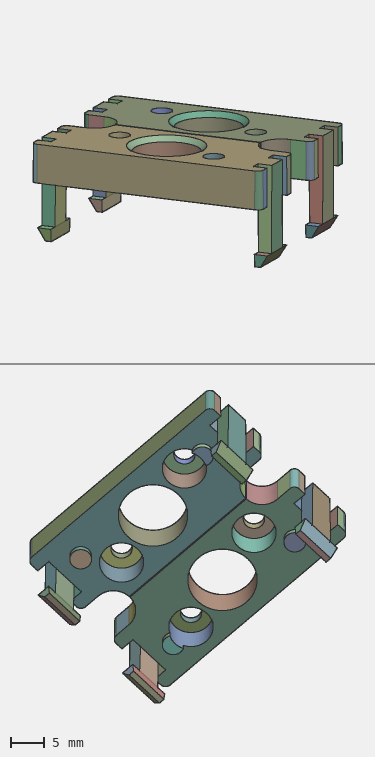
import cadquery as cq
import math

LENGTH = 37.68
WIDTH = 29.8
HEIGHT = 15.55
PLATE_THICKNESS = 6.0
PLATE_GAP = 0.15
CORNER_RADIUS = 0.98
DRAFT = 0.5

RELIEF_RADIUS = 3.3
RELIEF_TIP_X = 12.0

BORE_DIAMETER = 10.32
BORE_CHAMFER = 0.83

SCREW_X = 8.85
SCREW_Y = 2.5
SCREW_DIAMETER = 3.2
COUNTERBORE_DIAMETER = 6.6
SCREW_SEAT_THICKNESS = 1.5

PIN_X = 12.5
PIN_DIAMETER = 3.25
PIN_LENGTH = 0.98

LEG_Y = 9.08
LEG_TOP_WIDTH = 3.7
LEG_FOOT_DEPTH = 2.15
NOTCH_DEPTH = 2.25
NOTCH_WIDTH = 7.05

HOOK_HEIGHT = 1.95
HOOK_TOP_WIDTH = 6.9
HOOK_BOTTOM_WIDTH = 6.55
HOOK_BEVEL = 1.2

half_length = LENGTH / 2
plate_width = (WIDTH - PLATE_GAP) / 2
plate_center_y = (WIDTH - plate_width) / 2
screw_far_y = plate_center_y + SCREW_Y
relief_center_x = RELIEF_TIP_X + RELIEF_RADIUS
hook_bottom_z = PLATE_THICKNESS - HEIGHT
hook_top_z = hook_bottom_z + HOOK_HEIGHT
leg_height = PLATE_THICKNESS - hook_top_z
leg_bottom_width = LEG_TOP_WIDTH + 2 * leg_height * math.tan(math.radians(DRAFT))


def cylinder(x, y, bottom_z, diameter, height):
    return cq.Workplane("XY", origin=(x, y, bottom_z)).circle(diameter / 2).extrude(height)


def make_plate():
    """Drafted plate with rounded outer corners and a half-round relief at each end."""
    relief_straight = 2 * (half_length - relief_center_x)
    outline = (
        cq.Sketch()
        .push([(0, plate_center_y)])
        .rect(LENGTH, plate_width)
        .reset()
        .push([(-half_length, 0), (half_length, 0)])
        .slot(relief_straight, 2 * RELIEF_RADIUS, mode="s")
        .reset()
        .vertices("<X or >X")
        .fillet(CORNER_RADIUS)
    )
    return cq.Workplane("XY").placeSketch(outline).extrude(PLATE_THICKNESS, taper=DRAFT)


def make_bore():
    """Cutter for the main bore and its chamfered rim."""
    bore = cylinder(0, plate_center_y, 0, BORE_DIAMETER, PLATE_THICKNESS)
    rim = (
        cq.Workplane("XY", origin=(0, plate_center_y, PLATE_THICKNESS - BORE_CHAMFER))
        .circle(BORE_DIAMETER / 2)
        .workplane(offset=BORE_CHAMFER)
        .circle(BORE_DIAMETER / 2 + BORE_CHAMFER)
        .loft()
    )
    return bore.union(rim)


def make_screw_hole(x, y):
    """Cutter for a screw hole; its counterbore runs down past the pins and trims the nearer one."""
    hole = cylinder(x, y, 0, SCREW_DIAMETER, PLATE_THICKNESS)
    counterbore_height = PIN_LENGTH + PLATE_THICKNESS - SCREW_SEAT_THICKNESS
    return hole.union(cylinder(x, y, -PIN_LENGTH, COUNTERBORE_DIAMETER, counterbore_height))


def make_notch(x):
    """Cutter that frees the leg at one end of the plate."""
    return (
        cq.Workplane("XY")
        .center(x, LEG_Y)
        .rect(2 * NOTCH_DEPTH, NOTCH_WIDTH)
        .extrude(PLATE_THICKNESS)
    )


def tapered_bar(profile, bottom_z, top_z, bottom_width, top_width):
    """Bar with the given XZ profile whose width along Y changes evenly from bottom to top."""
    bar = cq.Workplane("XZ").polyline(profile).close().extrude(bottom_width + top_width, both=True)
    width_outline = [
        (-bottom_width / 2, bottom_z),
        (bottom_width / 2, bottom_z),
        (top_width / 2, top_z),
        (-top_width / 2, top_z),
    ]
    taper = cq.Workplane("YZ").polyline(width_outline).close().extrude(LENGTH, both=True)
    return bar.intersect(taper).translate((0, LEG_Y, 0))


def make_leg():
    """Snap leg with its hook, at the -X end."""
    outer_x = -half_length
    notch_x = outer_x + NOTCH_DEPTH
    foot_x = outer_x + LEG_FOOT_DEPTH
    leg_profile = [
        (outer_x, hook_top_z),
        (outer_x, PLATE_THICKNESS),
        (notch_x, PLATE_THICKNESS),
        (notch_x, 0),
        (foot_x, hook_top_z),
    ]
    hook_profile = [
        (outer_x, hook_top_z),
        (foot_x, hook_top_z),
        (foot_x, hook_bottom_z),
        (outer_x + HOOK_BEVEL, hook_bottom_z),
    ]
    leg = tapered_bar(leg_profile, hook_top_z, PLATE_THICKNESS, leg_bottom_width, LEG_TOP_WIDTH)
    hook = tapered_bar(hook_profile, hook_bottom_z, hook_top_z, HOOK_BOTTOM_WIDTH, HOOK_TOP_WIDTH)
    return leg.union(hook)


def make_snap_plate(turn):
    """Complete plate on the +Y side, turned about Z by the given angle in degrees."""
    body = make_plate()
    for side in (-1, 1):
        body = body.union(cylinder(side * PIN_X, screw_far_y, -PIN_LENGTH, PIN_DIAMETER, PIN_LENGTH))
    body = body.cut(make_bore())
    for side in (-1, 1):
        body = body.cut(make_screw_hole(side * SCREW_X, plate_center_y - side * SCREW_Y))
        body = body.cut(make_notch(side * half_length))
    left_leg = make_leg()
    body = body.union(left_leg).union(left_leg.mirror("YZ"))
    return body.rotate((0, 0, 0), (0, 0, 1), turn)


snap_plates = [make_snap_plate(turn).val() for turn in (0, 180)]
result = cq.Compound.makeCompound(snap_plates)